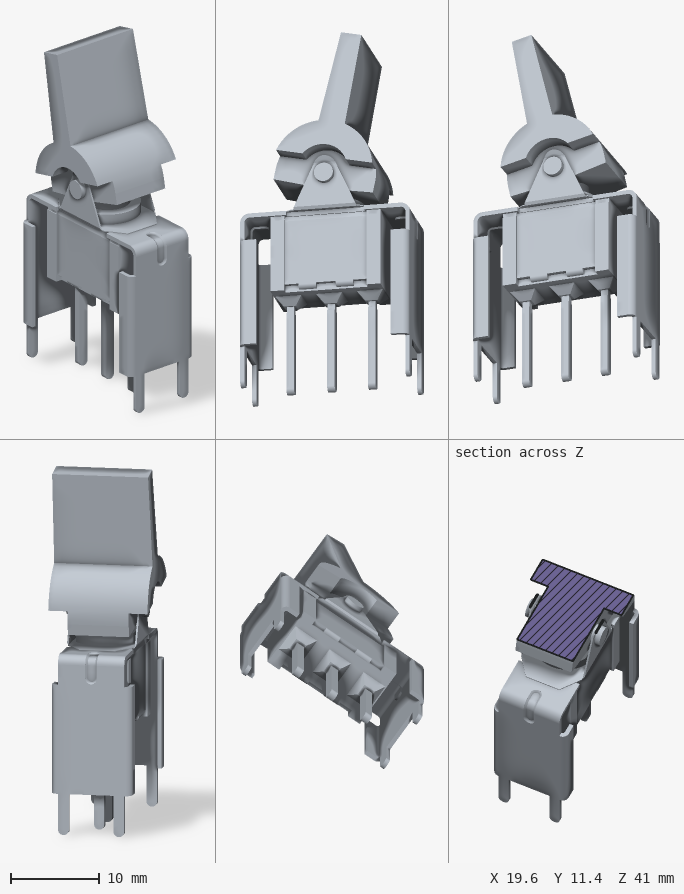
import cadquery as cq
import math

OVERLAP = 0.2

BRACKET_LENGTH = 19.56
BRACKET_WIDTH = 7.62
SHEET = 0.5
BEND_OUTER = 1.05
PLATE_BOTTOM = -15.9
FLANGE_TOP = -3.43
FLANGE_SPAN = 9.25
FLANGE_DEPTH = 2.02
FLANGE_BEND_OUTER = 0.75
NOTCH_LENGTH = 9.0
NOTCH_DEPTH = 0.6

BEAD_GROOVE_WIDTH = 1.35
BEAD_RIDGE_WIDTH = 1.1
BEAD_DEPTH = 0.25
BEAD_WALL_SLOPE = 0.24
BEAD_RUN = 2.5
BEAD_DROP = 3.2

LEG_TIP_ROUNDING = 0.48
LEG_WIDTH = 1.25
TERMINAL_BOTTOM = -20.72
BRACKET_LEG_BOTTOM = -20.6
BRACKET_LEG_PITCH = BRACKET_WIDTH - LEG_WIDTH
TERMINAL_PITCH = 4.7
TERMINAL_THICKNESS = 0.87
TERMINAL_WIDTH = 1.14
NECK_WIDTH = 0.85
NECK_BOTTOM = -11.05
SEAL_TOP_LENGTH = 3.0
SEAL_TOP_WIDTH = 3.3
SEAL_BOTTOM_SIZE = 1.4
SEAL_HEIGHT = 0.9

BODY_LENGTH = 12.7
BODY_WIDTH = 7.2
BODY_BOTTOM = -9.42
BODY_RECESS_WIDTH = 5.6
BODY_RIM_BOTTOM = -1.0
BODY_RIM_SETBACK = 0.1
CLIP_LENGTH = 9.5
CLIP_WIDTH = 6.7
CLIP_BOTTOM = -8.65
CLIP_BEVEL_TOP = -0.55
CLIP_BEVEL_BOTTOM = -1.1
CLIP_FOOT_LENGTH = 2.0
CLIP_FOOT_SPACING = 4.3
CLIP_FOOT_BOTTOM = -9.2
CLIP_FOOT_RADIUS = 0.45

COVER_LENGTH = 12.5
COVER_END_WIDTH = 4.2
COVER_SIDE_LENGTH = 7.8
COVER_THICKNESS = 0.12
EAR_OUTER_Y = 4.0
EAR_THICKNESS = 0.2
EAR_BEND_HEIGHT = 0.32
EAR_BASE_HALF = 3.7
EAR_TIP_HALF = 1.32
EAR_BEND_Z = 5.2
EAR_TAB_HEIGHT = 0.9
EAR_TAB_LEAN = 0.5
EAR_CREASE_HEIGHT = 0.2
EAR_CREASE_LEAN = 0.05

BUSHING_DIAMETER = 7.6
BUSHING_FLAT_WIDTH = 6.6
BUSHING_TOP = 1.36
PLUNGER_DIAMETER = 5.2
PIVOT_Z = 4.04
PIN_DIAMETER = 2.2
PIN_LENGTH = 9.3

LEVER_TILT = 12.0
LEVER_WIDTH = 11.43
LEVER_TIP_WIDTH = 11.04
LEVER_CORE_WIDTH = 7.04
HUB_RADIUS = 5.86
HUB_CORNER_DROP = 1.3
HUB_CENTRE_DROP = 1.6
SKIRT_LEVEL = 1.5
SKIRT_ARCH_RADIUS = 2.96
HANDLE_BASE_HALF = 1.55
HANDLE_TIP_HALF = 1.2
HANDLE_TIP_LEVEL = 16.35


def block(x_range, y_range, z_range):
    """Box given by its lower and upper limits along each axis."""
    (x0, x1), (y0, y1), (z0, z1) = x_range, y_range, z_range
    return cq.Workplane("XY").box(x1 - x0, y1 - y0, z1 - z0, centered=False).translate((x0, y0, z0))


def centred(size):
    """Limits of a span centred on zero."""
    return (-size / 2, size / 2)


def both_sides_x(half):
    return half.union(half.mirror("YZ"))


def both_sides_y(half):
    return half.union(half.mirror("XZ"))


def arch_block(inset, width):
    """Solid block under the bracket skin, inset evenly from its top and ends."""
    solid = block(
        centred(BRACKET_LENGTH - 2 * inset), centred(width), (PLATE_BOTTOM, -inset)
    )
    return solid.edges("|Y and >Z").fillet(BEND_OUTER - inset)


def flange_channel():
    """C-shaped channel at the -X end: end plate with both side flanges."""
    end = -BRACKET_LENGTH / 2
    heights = (PLATE_BOTTOM, FLANGE_TOP)
    outer = block((end, end + FLANGE_DEPTH), centred(FLANGE_SPAN), heights)
    outer = outer.edges("|Z and <X").fillet(FLANGE_BEND_OUTER)
    inner = block((end + SHEET, end + FLANGE_DEPTH), centred(FLANGE_SPAN - 2 * SHEET), heights)
    inner = inner.edges("|Z and <X").fillet(FLANGE_BEND_OUTER - SHEET)
    return outer.cut(inner)


def bead_layer(start, stop, width):
    """L-shaped round-ended bar over the -X bend, between two insets of the skin."""
    end = -BRACKET_LENGTH / 2
    shell = arch_block(start, width).cut(arch_block(stop, width))
    run = BEAD_RUN + BEND_OUTER
    on_top = (
        cq.Workplane("XY").center(end + BEAD_RUN - run / 2, 0)
        .slot2D(run, width).extrude(-BEND_OUTER)
    )
    drop = BEAD_DROP + BEND_OUTER
    on_end = (
        cq.Workplane("YZ", origin=(end, 0, -BEAD_DROP + drop / 2))
        .slot2D(drop, width, 90).extrude(BEND_OUTER)
    )
    return shell.intersect(on_top.union(on_end))


def bead_groove():
    """Pressed groove with sloping walls, as a cutter for the -X bend."""
    full = bead_layer(0, BEAD_DEPTH, BEAD_GROOVE_WIDTH)
    margin = BEAD_DEPTH / 10
    floor_x = -BRACKET_LENGTH / 2 + BEAD_DEPTH
    floor_edges = cq.selectors.BoxSelector(
        (floor_x - margin, -BEAD_GROOVE_WIDTH, -BEAD_DROP - margin),
        (0, BEAD_GROOVE_WIDTH, -BEAD_DEPTH + margin),
        boundingbox=True,
    )
    return full.edges(floor_edges).edges("not(|Y)").chamfer(BEAD_WALL_SLOPE)


def leg(x, y, thickness, width, top, bottom):
    """Flat solder leg with a rounded lower end."""
    straight = block(
        (x - thickness / 2, x + thickness / 2),
        (y - width / 2, y + width / 2),
        (bottom, top),
    )
    return straight.edges("|X and <Z").fillet(LEG_TIP_ROUNDING * width)


def make_bracket():
    bracket = arch_block(0, BRACKET_WIDTH).cut(arch_block(SHEET, BRACKET_WIDTH))
    ridge = bead_layer(SHEET - OVERLAP, SHEET + BEAD_DEPTH, BEAD_RIDGE_WIDTH)
    bracket = bracket.union(both_sides_x(flange_channel().union(ridge)))
    bracket = bracket.cut(both_sides_x(bead_groove()))
    notch = block(
        centred(NOTCH_LENGTH),
        (-BRACKET_WIDTH / 2, -BRACKET_WIDTH / 2 + NOTCH_DEPTH),
        (-SHEET, 0),
    )
    bracket = bracket.cut(both_sides_y(notch))
    leg_x = (BRACKET_LENGTH - SHEET) / 2
    for x in (-leg_x, leg_x):
        for y in centred(BRACKET_LEG_PITCH):
            top = PLATE_BOTTOM + OVERLAP
            bracket = bracket.union(leg(x, y, SHEET, LEG_WIDTH, top, BRACKET_LEG_BOTTOM))
    return bracket


def clip_panel():
    """Clip side at -Y: bevelled along the top, with two feet under its lower edge."""
    front = -CLIP_WIDTH / 2
    bevel_start = -BRACKET_WIDTH / 2 + NOTCH_DEPTH
    panel = (
        cq.Workplane("YZ")
        .moveTo(0, CLIP_BEVEL_TOP)
        .lineTo(bevel_start, CLIP_BEVEL_TOP)
        .lineTo(front, CLIP_BEVEL_BOTTOM)
        .lineTo(front, CLIP_BOTTOM)
        .lineTo(0, CLIP_BOTTOM)
        .close()
        .extrude(CLIP_LENGTH / 2, both=True)
    )
    for x in centred(CLIP_FOOT_SPACING):
        foot = block(
            (x - CLIP_FOOT_LENGTH / 2, x + CLIP_FOOT_LENGTH / 2),
            (front, 0),
            (CLIP_FOOT_BOTTOM, CLIP_BOTTOM + OVERLAP),
        )
        panel = panel.union(foot.edges("|X and <Z and <Y").fillet(CLIP_FOOT_RADIUS))
    return panel


def make_terminal(x):
    """Solder terminal with its tapered seal below the housing."""
    seal = (
        cq.Workplane("XY", origin=(x, 0, BODY_BOTTOM))
        .rect(SEAL_TOP_LENGTH, SEAL_TOP_WIDTH)
        .workplane(offset=-SEAL_HEIGHT)
        .rect(SEAL_BOTTOM_SIZE, SEAL_BOTTOM_SIZE)
        .loft()
    )
    neck = block(
        (x - NECK_WIDTH / 2, x + NECK_WIDTH / 2), centred(NECK_WIDTH), (NECK_BOTTOM, BODY_BOTTOM)
    )
    blade = leg(x, 0, TERMINAL_THICKNESS, TERMINAL_WIDTH, NECK_BOTTOM, TERMINAL_BOTTOM)
    return seal.union(neck).union(blade)


def make_housing():
    housing = block(centred(BODY_LENGTH), centred(BODY_WIDTH), (BODY_BOTTOM, -SHEET))
    recess = block(
        centred(CLIP_LENGTH), (-BODY_WIDTH / 2, -BODY_RECESS_WIDTH / 2), (BODY_BOTTOM, -SHEET)
    )
    rim = block(
        centred(BODY_LENGTH),
        (-BODY_WIDTH / 2, -BODY_WIDTH / 2 + BODY_RIM_SETBACK),
        (BODY_RIM_BOTTOM, -SHEET),
    )
    housing = housing.cut(both_sides_y(recess.union(rim)))
    housing = housing.union(both_sides_y(clip_panel()))
    for x in (-TERMINAL_PITCH, 0, TERMINAL_PITCH):
        housing = housing.union(make_terminal(x))
    return housing


def make_ear():
    """Pivot ear at -Y: tapered upright with a rounded tip tab leaning outward."""
    inner_y = EAR_OUTER_Y - EAR_THICKNESS
    crease_top = EAR_BEND_Z + EAR_CREASE_HEIGHT
    tab_top = EAR_BEND_Z + EAR_TAB_HEIGHT
    outline = (
        cq.Workplane("XZ")
        .moveTo(-EAR_BASE_HALF, 0)
        .lineTo(-EAR_TIP_HALF, EAR_BEND_Z)
        .threePointArc((0, tab_top), (EAR_TIP_HALF, EAR_BEND_Z))
        .lineTo(EAR_BASE_HALF, 0)
        .close()
        .extrude(LEVER_WIDTH / 2)
    )
    sheet = (
        cq.Workplane("YZ")
        .polyline([
            (-inner_y, 0),
            (-inner_y, EAR_BEND_Z),
            (-inner_y - EAR_CREASE_LEAN, crease_top),
            (-inner_y - EAR_TAB_LEAN, tab_top),
            (-EAR_OUTER_Y - EAR_TAB_LEAN, tab_top),
            (-EAR_OUTER_Y - EAR_CREASE_LEAN, crease_top),
            (-EAR_OUTER_Y, EAR_BEND_Z),
            (-EAR_OUTER_Y, EAR_BEND_HEIGHT),
        ])
        .close()
        .extrude(EAR_BASE_HALF, both=True)
    )
    return outline.intersect(sheet)


def make_cover():
    """Eight-sided cover sheet on the bracket with its two upright ears."""
    inner_y = EAR_OUTER_Y - EAR_THICKNESS
    quarter = [(COVER_LENGTH / 2, COVER_END_WIDTH / 2), (COVER_SIDE_LENGTH / 2, inner_y)]
    upper = quarter + [(-x, y) for x, y in reversed(quarter)]
    lower = [(-x, -y) for x, y in upper]
    sheet = cq.Workplane("XY").polyline(upper + lower).close().extrude(COVER_THICKNESS)
    return sheet.union(both_sides_y(make_ear()))


def make_pivot():
    bushing = cq.Workplane("XY").circle(BUSHING_DIAMETER / 2).extrude(BUSHING_TOP)
    bushing = bushing.intersect(
        block(centred(BUSHING_DIAMETER), centred(BUSHING_FLAT_WIDTH), (0, BUSHING_TOP))
    )
    plunger = cq.Workplane("XY").circle(PLUNGER_DIAMETER / 2).extrude(PIVOT_Z)
    pin = (
        cq.Workplane("XZ", origin=(0, 0, PIVOT_Z))
        .circle(PIN_DIAMETER / 2).extrude(PIN_LENGTH / 2, both=True)
    )
    return bushing.union(plunger).union(pin)


def make_lever():
    handle_base = math.sqrt(HUB_RADIUS**2 - HANDLE_BASE_HALF**2)
    skirt_half = math.sqrt(HUB_RADIUS**2 - SKIRT_LEVEL**2)
    arch_half = math.sqrt(SKIRT_ARCH_RADIUS**2 - SKIRT_LEVEL**2)
    diagonal = HUB_RADIUS * math.sqrt(0.5)

    wide = (
        cq.Workplane("XZ")
        .moveTo(-HANDLE_TIP_HALF, HANDLE_TIP_LEVEL)
        .lineTo(HANDLE_TIP_HALF, HANDLE_TIP_LEVEL)
        .lineTo(HANDLE_BASE_HALF, handle_base)
        .threePointArc((diagonal, diagonal), (skirt_half, SKIRT_LEVEL))
        .lineTo(arch_half, SKIRT_LEVEL)
        .threePointArc((0, SKIRT_ARCH_RADIUS), (-arch_half, SKIRT_LEVEL))
        .lineTo(-skirt_half, SKIRT_LEVEL)
        .threePointArc((-diagonal, diagonal), (-HANDLE_BASE_HALF, handle_base))
        .close()
        .extrude(LEVER_WIDTH / 2, both=True)
    )
    draft = (
        cq.Workplane("YZ")
        .polyline([
            (-LEVER_WIDTH / 2, SKIRT_LEVEL),
            (LEVER_WIDTH / 2, SKIRT_LEVEL),
            (LEVER_TIP_WIDTH / 2, HANDLE_TIP_LEVEL),
            (-LEVER_TIP_WIDTH / 2, HANDLE_TIP_LEVEL),
        ])
        .close()
        .extrude(HUB_RADIUS, both=True)
    )
    core = (
        cq.Workplane("XZ")
        .moveTo(-HUB_RADIUS, 0)
        .threePointArc((0, HUB_RADIUS), (HUB_RADIUS, 0))
        .lineTo(HUB_RADIUS, -HUB_CORNER_DROP)
        .lineTo(0, -HUB_CENTRE_DROP)
        .lineTo(-HUB_RADIUS, -HUB_CORNER_DROP)
        .close()
        .extrude(LEVER_CORE_WIDTH / 2, both=True)
    )
    upright = wide.intersect(draft).union(core)
    return upright.rotate((0, 0, 0), (0, -1, 0), LEVER_TILT).translate((0, 0, PIVOT_Z))


result = (
    make_bracket()
    .union(make_housing())
    .union(make_cover())
    .union(make_pivot())
    .union(make_lever())
)